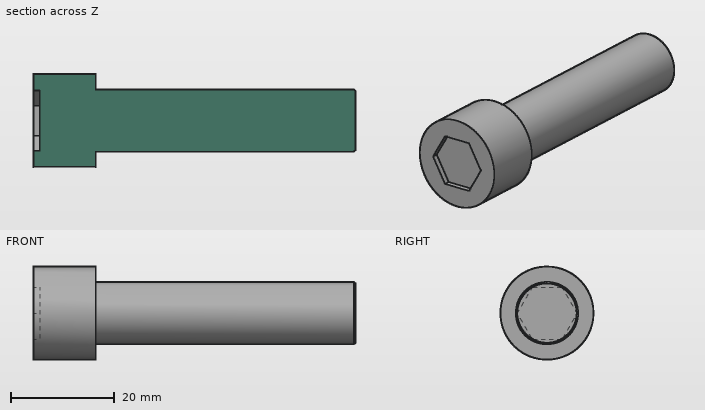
import cadquery as cq
import math

total_length = 62.0
shank_diameter = 12.0
head_diameter = 18.0
head_length = shank_diameter
tip_chamfer = 0.3
socket_sides = 6
socket_across_flats = 10.0
socket_depth = 1.2

head_face_x = -total_length / 2


def cylinder_along_x(start_x, length, diameter):
    return cq.Workplane("YZ", origin=(start_x, 0, 0)).circle(diameter / 2).extrude(length)


head = cylinder_along_x(head_face_x, head_length, head_diameter)

shank = cylinder_along_x(head_face_x + head_length, total_length - head_length, shank_diameter)
shank = shank.faces(">X").chamfer(tip_chamfer)

socket_across_corners = socket_across_flats / math.cos(math.pi / socket_sides)
socket = (
    cq.Workplane("YZ", origin=(head_face_x, 0, 0))
    .polygon(socket_sides, socket_across_corners)
    .extrude(socket_depth)
)

result = head.union(shank).cut(socket)